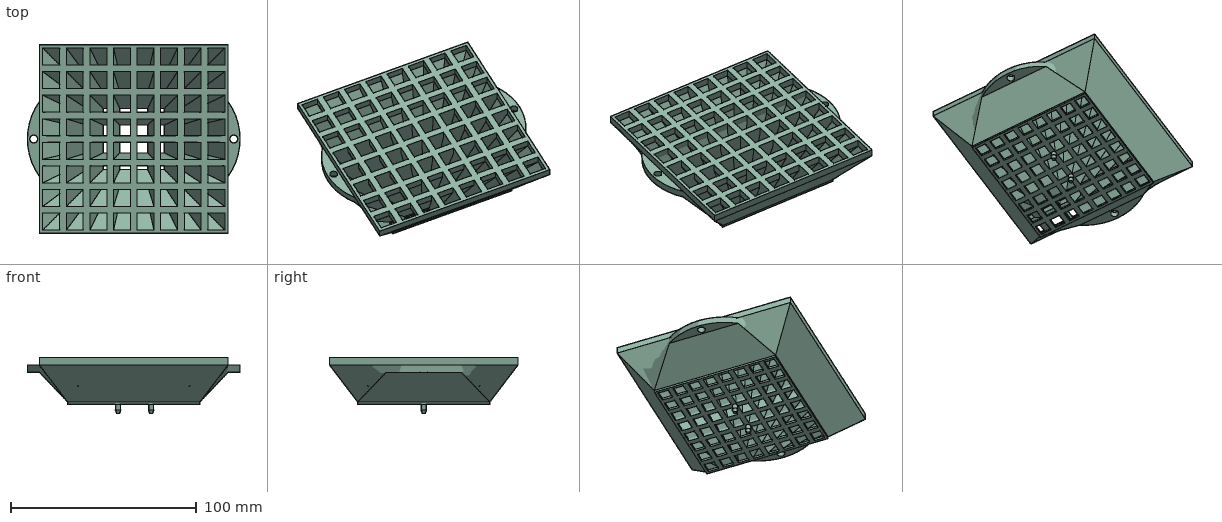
import cadquery as cq

cells_per_side = 8
top_pitch = 12.7
bottom_pitch = 8.89
top_opening = 9.1
bottom_opening = 5.95

top_width = cells_per_side * top_pitch
bottom_width = cells_per_side * bottom_pitch

rim_thickness = 4.0
taper_height = 20.0
base_thickness = 1.25
ear_thickness = 4.0
rim_bottom_z = -rim_thickness
ear_bottom_z = rim_bottom_z - ear_thickness
base_top_z = rim_bottom_z - taper_height
base_bottom_z = base_top_z - base_thickness

ear_tip_x = 57.235
ear_half_width = 20.15
ear_hole_diameter = 4.1
ear_hole_x = 53.8

pin_diameter = 2.8
pin_barb_diameter = 3.1
pin_tip_diameter = 1.6
pin_shaft_length = 3.0
pin_tip_length = 2.0
pin_offset_x = 0.46
pin_xs = (pin_offset_x - bottom_pitch, pin_offset_x + bottom_pitch)


def make_square_prism(x, y, width, z, end_z):
    """Straight square solid between two heights."""
    return cq.Workplane(cq.Plane(origin=(x, y, z))).rect(width, width).extrude(end_z - z)


def make_square_frustum(x, y, width, z, end_x, end_y, end_width, end_z):
    """Solid between a square at height z and another square at height end_z."""
    start = cq.Plane(origin=(x, y, z))
    return (
        cq.Workplane(start)
        .rect(width, width)
        .workplane(offset=end_z - z)
        .center(end_x - x, end_y - y)
        .rect(end_width, end_width)
        .loft(ruled=True, combine=True)
    )


def make_body():
    """Square rim, tapered hopper and thin base, still without cells."""
    rim = make_square_prism(0, 0, top_width, 0, rim_bottom_z)
    taper = make_square_frustum(0, 0, top_width, rim_bottom_z, 0, 0, bottom_width, base_top_z)
    base = make_square_prism(0, 0, bottom_width, base_top_z, base_bottom_z)
    return rim.union(taper).union(base)


def make_ear():
    """Arc-edged mounting ear on the +X side, with its screw hole."""
    root_x = top_width / 2
    top_plane = cq.Plane(origin=(0, 0, rim_bottom_z))
    plate = (
        cq.Workplane(top_plane)
        .moveTo(root_x, -ear_half_width)
        .threePointArc((ear_tip_x, 0), (root_x, ear_half_width))
        .close()
        .extrude(-ear_thickness)
    )
    hole = (
        cq.Workplane(top_plane)
        .center(ear_hole_x, 0)
        .circle(ear_hole_diameter / 2)
        .extrude(-ear_thickness)
    )
    return plate.cut(hole)


def make_polygon_face(*points):
    vectors = [cq.Vector(*point) for point in points]
    return cq.Face.makeFromWires(cq.Wire.makePolygon(vectors, close=True))


def make_gusset():
    """Thickening of the +X hopper wall that carries the ear.

    A flat face runs from the ear to the base, and a twisted ruled face on
    each side of it blends into the hopper corner.
    """
    top_x = top_width / 2
    bottom_x = bottom_width / 2

    def corner_points(side):
        rim_corner = (top_x, side * top_x, rim_bottom_z)
        ear_top = (top_x, side * ear_half_width, rim_bottom_z)
        ear_bottom = (top_x, side * ear_half_width, ear_bottom_z)
        base_corner = (bottom_x, side * bottom_x, base_top_z)
        return rim_corner, ear_top, ear_bottom, base_corner

    faces = []
    for side in (-1, 1):
        rim_corner, ear_top, ear_bottom, base_corner = corner_points(side)
        hopper_edge = cq.Edge.makeLine(cq.Vector(*rim_corner), cq.Vector(*base_corner))
        ear_edge = cq.Edge.makeLine(cq.Vector(*ear_top), cq.Vector(*ear_bottom))
        faces.append(cq.Face.makeRuledSurface(hopper_edge, ear_edge))

    rim_a, ear_top_a, ear_bottom_a, base_a = corner_points(-1)
    rim_b, ear_top_b, ear_bottom_b, base_b = corner_points(1)
    faces.append(make_polygon_face(ear_top_a, ear_top_b, ear_bottom_b, ear_bottom_a))
    faces.append(make_polygon_face(ear_bottom_a, ear_bottom_b, base_b, base_a))
    faces.append(make_polygon_face(rim_a, ear_top_a, ear_top_b, rim_b, base_b, base_a))
    solid = cq.Solid.makeSolid(cq.Shell.makeShell(faces))
    return cq.Workplane(solid.fix())


def cut_cells(body):
    """Cut the grid of square cells: straight inlet, funnel, straight outlet through the base."""
    middle = (cells_per_side - 1) / 2
    offsets = [index - middle for index in range(cells_per_side)]
    cells = []
    for column in offsets:
        for row in offsets:
            top_x, top_y = column * top_pitch, row * top_pitch
            bottom_x, bottom_y = column * bottom_pitch, row * bottom_pitch
            inlet = make_square_prism(top_x, top_y, top_opening, 0, rim_bottom_z)
            funnel = make_square_frustum(
                top_x, top_y, top_opening, rim_bottom_z,
                bottom_x, bottom_y, bottom_opening, base_top_z,
            )
            outlet = make_square_prism(bottom_x, bottom_y, bottom_opening, base_top_z, base_bottom_z)
            cells.append(inlet.union(funnel).union(outlet).val())
    return body.cut(cq.Workplane(cq.Compound.makeCompound(cells)))


def make_pin(x):
    """Round pin under the base with a slightly barbed conical tip."""
    shaft_end_z = base_bottom_z - pin_shaft_length
    tip_z = shaft_end_z - pin_tip_length
    profile = (
        cq.Workplane("XZ")
        .moveTo(0, base_bottom_z)
        .lineTo(pin_diameter / 2, base_bottom_z)
        .lineTo(pin_diameter / 2, shaft_end_z)
        .lineTo(pin_barb_diameter / 2, shaft_end_z)
        .lineTo(pin_tip_diameter / 2, tip_z)
        .lineTo(0, tip_z)
        .close()
    )
    return profile.revolve(360, (0, 0, 0), (0, 1, 0)).translate((x, 0, 0))


result = make_body()
ear_side = make_ear().union(make_gusset())
result = result.union(ear_side).union(ear_side.mirror("YZ"))
result = cut_cells(result)
for pin_x in pin_xs:
    result = result.union(make_pin(pin_x))